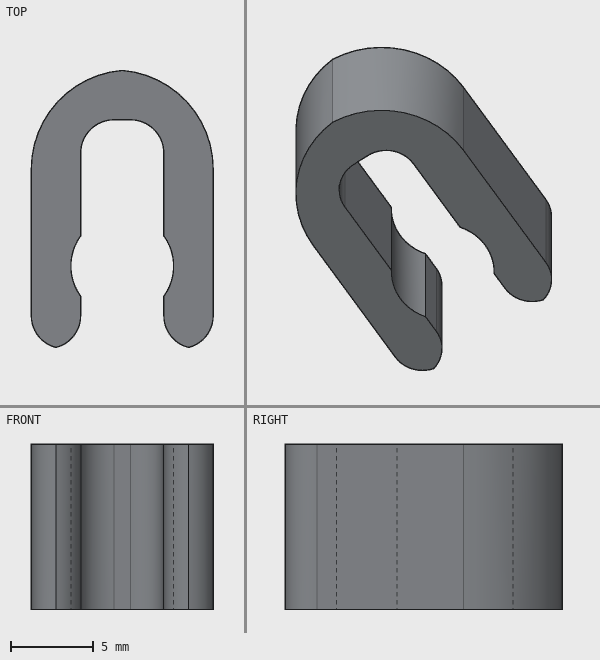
import cadquery as cq
import math

width = 11.0
length = 16.75
height = 10.0

arm_width = 3.0
crown_radius = 6.0
tip_radius = 2.0
slot_corner_radius = 2.0
seat_radius = 3.1
seat_to_tip = 4.92

half_width = width / 2
tip_y = -seat_to_tip
crown_y = tip_y + length
slot_end_y = crown_y - arm_width


def pointed_arch_rise(span, radius):
    """Height of an arch of two arcs, each tangent to its side wall."""
    return math.sqrt(radius**2 - (radius - span / 2) ** 2)


def pointed_arch(sketch, start, span, radius, direction):
    """Add an arch from start across span; direction is +1 or -1 for both X and Y."""
    x, y = start
    apex = (x + direction * span / 2, y + direction * pointed_arch_rise(span, radius))
    end = (x + direction * span, y)
    sketch = sketch.radiusArc(apex, radius)
    return sketch.radiusArc(end, radius)


def body():
    """U-shaped clip with a pointed crown, pointed arm tips and a rounded slot end."""
    crown_start_y = crown_y - pointed_arch_rise(width, crown_radius)
    tip_start_y = tip_y + pointed_arch_rise(arm_width, tip_radius)
    inner_x = half_width - arm_width

    outline = cq.Workplane("XY").moveTo(-half_width, tip_start_y)
    outline = outline.lineTo(-half_width, crown_start_y)
    outline = pointed_arch(outline, (-half_width, crown_start_y), width, crown_radius, 1)
    outline = outline.lineTo(half_width, tip_start_y)
    outline = pointed_arch(outline, (half_width, tip_start_y), arm_width, tip_radius, -1)
    outline = outline.lineTo(inner_x, slot_end_y - slot_corner_radius)
    outline = outline.radiusArc((inner_x - slot_corner_radius, slot_end_y), -slot_corner_radius)
    outline = outline.lineTo(slot_corner_radius - inner_x, slot_end_y)
    outline = outline.radiusArc((-inner_x, slot_end_y - slot_corner_radius), -slot_corner_radius)
    outline = outline.lineTo(-inner_x, tip_start_y)
    outline = pointed_arch(outline, (-inner_x, tip_start_y), arm_width, tip_radius, -1)
    return outline.close().extrude(height)


seat = cq.Workplane("XY").circle(seat_radius).extrude(height)

result = body().cut(seat)